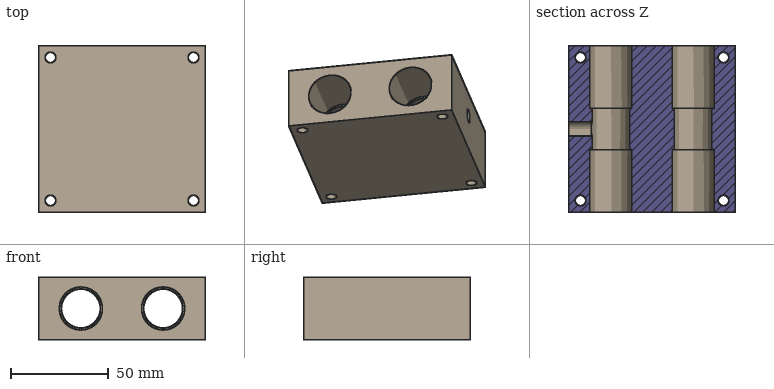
import cadquery as cq

block_side = 85.0
block_height = 32.0

mount_hole_diameter = 5.3
mount_hole_spacing = 73.0

bore_spacing = 42.0
bore_diameter = 19.8
seat_diameter = 22.0
seat_depth = 32.0

cross_hole_diameter = 6.92
cross_hole_height = 3.0


def make_block():
    return cq.Workplane("XY").box(block_side, block_side, block_height)


def make_mount_holes():
    return (
        cq.Workplane("XY", origin=(0, 0, -block_height / 2))
        .rect(mount_hole_spacing, mount_hole_spacing, forConstruction=True)
        .vertices()
        .circle(mount_hole_diameter / 2)
        .extrude(block_height)
    )


def make_seated_bore(x):
    front_mouth = cq.Workplane("XZ", origin=(x, -block_side / 2, 0))
    bore = front_mouth.circle(bore_diameter / 2).extrude(-block_side)
    front_seat = front_mouth.circle(seat_diameter / 2).extrude(-seat_depth)
    back_seat = front_seat.mirror("XZ")
    return bore.union(front_seat).union(back_seat)


def make_cross_hole():
    length = (block_side - bore_spacing) / 2
    return (
        cq.Workplane("YZ", origin=(-block_side / 2, 0, cross_hole_height))
        .circle(cross_hole_diameter / 2)
        .extrude(length)
    )


result = make_block().cut(make_mount_holes())
for bore_x in (-bore_spacing / 2, bore_spacing / 2):
    result = result.cut(make_seated_bore(bore_x))
result = result.cut(make_cross_hole())